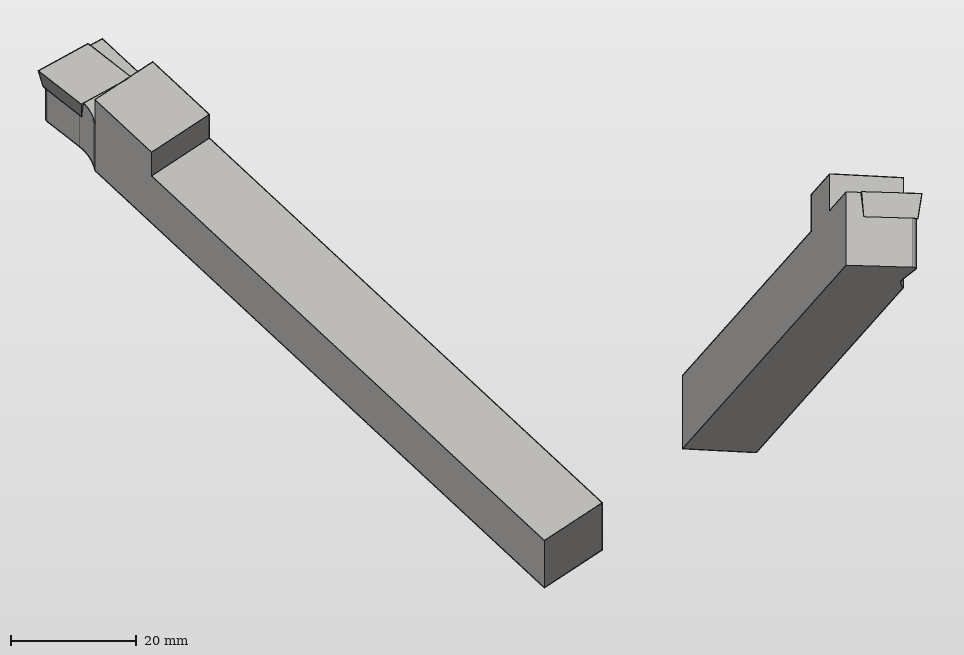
import cadquery as cq
import math

TOOL_LENGTH = 124.98
SHANK_WIDTH = 12.0
SHANK_HEIGHT = 12.0

HEAD_LENGTH = 13.98
BLOCK_LENGTH = 14.0
BLOCK_RISE = 6.0

INSERT_SIDE = 9.67
INSERT_THICKNESS = 3.97
EDGE_TILT = 5.0
CLEARANCE_ANGLE = 7.0

NOSE_RADIUS = 0.75
RELIEF_RADIUS = 8.8

tilt_sin = math.sin(math.radians(EDGE_TILT))
tilt_cos = math.cos(math.radians(EDGE_TILT))
tilt_tan = tilt_sin / tilt_cos
seat_inset = INSERT_THICKNESS * math.tan(math.radians(CLEARANCE_ANGLE))


def make_insert():
    """Rhombus with its tip at the origin, flush with the top of the shank."""
    end_edge = (INSERT_SIDE * tilt_sin, INSERT_SIDE * tilt_cos)
    side_edge = (INSERT_SIDE * tilt_cos, INSERT_SIDE * tilt_sin)
    far_corner = (end_edge[0] + side_edge[0], end_edge[1] + side_edge[1])
    return (
        cq.Workplane("XY")
        .workplane(offset=SHANK_HEIGHT)
        .polyline([(0, 0), side_edge, far_corner, end_edge])
        .close()
        .extrude(-INSERT_THICKNESS, taper=CLEARANCE_ANGLE)
    )


def make_shank_blank():
    """Shank and head, with the faces under the insert following its lower edges."""
    nose = seat_inset / (tilt_cos - tilt_sin)
    head_back_x = nose + (SHANK_WIDTH - nose) * tilt_tan

    end_x = HEAD_LENGTH - nose
    end_y = -nose
    along = end_x * tilt_cos + end_y * tilt_sin
    across = end_x * tilt_sin - end_y * tilt_cos
    hollow_run = math.sqrt(across * (2 * RELIEF_RADIUS - across))
    side_length = along - hollow_run
    hollow_start = (nose + side_length * tilt_cos, nose + side_length * tilt_sin)

    blank = (
        cq.Workplane("XY")
        .moveTo(nose, nose)
        .lineTo(*hollow_start)
        .tangentArcPoint((HEAD_LENGTH, 0), relative=False)
        .lineTo(TOOL_LENGTH, 0)
        .lineTo(TOOL_LENGTH, SHANK_WIDTH)
        .lineTo(head_back_x, SHANK_WIDTH)
        .close()
        .extrude(SHANK_HEIGHT)
    )
    nose_edge = cq.selectors.NearestToPointSelector((nose, nose, SHANK_HEIGHT / 2))
    return blank.edges("|Z").edges(nose_edge).fillet(NOSE_RADIUS)


def make_block():
    """Raised block behind the head, across the full width of the shank."""
    return (
        cq.Workplane("XY")
        .workplane(offset=SHANK_HEIGHT)
        .moveTo(HEAD_LENGTH, 0)
        .rect(BLOCK_LENGTH, SHANK_WIDTH, centered=False)
        .extrude(BLOCK_RISE)
    )


insert = make_insert()
holder = make_shank_blank().union(make_block()).cut(insert)

result = cq.Compound.makeCompound([holder.solids().val(), insert.val()])